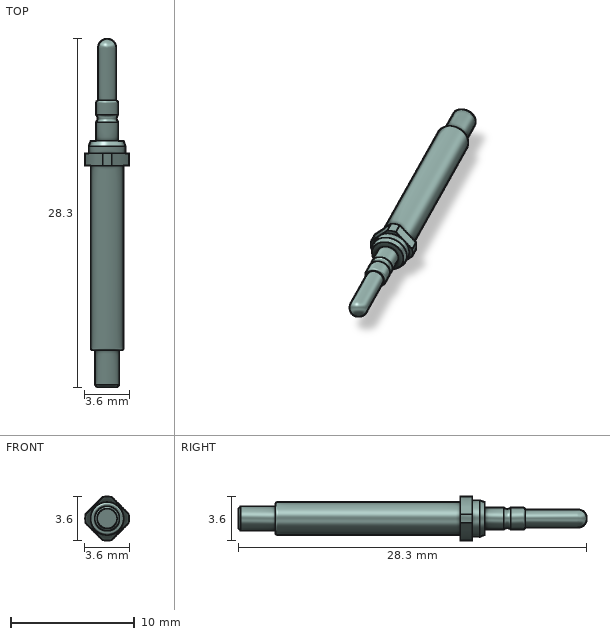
import cadquery as cq

length = 28.3

pin_diameter = 1.5
neck_diameter = 1.8
neck_from_tip = 5.0
neck_edge_round = 0.2
groove_from_tip = 6.17
groove_width = 0.6
groove_depth = 0.1

shoulder_from_tip = 8.3
shoulder_nose_diameter = 2.7
shoulder_diameter = 3.0
shoulder_taper_length = 0.42
flange_from_tip = 9.3
flange_thickness = 1.0
flange_across_flats = 3.0
flange_across_corners = 3.6

barrel_diameter = 2.7
barrel_end_from_tip = 25.3
barrel_edge_round = 0.2
tail_diameter = 2.0
tail_chamfer = 0.2


def y_at(distance_from_tip):
    """Y coordinate of a point given by its distance from the tip."""
    return length / 2 - distance_from_tip


def cylinder(diameter, start_from_tip, end_from_tip):
    """Solid cylinder on the Y axis between two distances from the tip."""
    return (
        cq.Workplane("XZ", origin=(0, y_at(start_from_tip), 0))
        .circle(diameter / 2)
        .extrude(end_from_tip - start_from_tip)
    )


def make_plunger():
    nose_radius = pin_diameter / 2
    nose = cq.Workplane("XY", origin=(0, y_at(nose_radius), 0)).sphere(nose_radius)
    pin = cylinder(pin_diameter, nose_radius, neck_from_tip).union(nose)
    neck = cylinder(neck_diameter, neck_from_tip, shoulder_from_tip)
    neck = neck.faces(">Y").edges().fillet(neck_edge_round)
    return pin.union(neck).cut(make_groove())


def make_groove():
    """Shallow round-bottomed ring that is cut from the neck."""
    neck_radius = neck_diameter / 2
    groove = (
        cq.Workplane("XY")
        .moveTo(neck_radius, y_at(groove_from_tip))
        .threePointArc(
            (neck_radius - groove_depth, y_at(groove_from_tip + groove_width / 2)),
            (neck_radius, y_at(groove_from_tip + groove_width)),
        )
        .close()
    )
    return groove.revolve(360, (0, 0, 0), (0, 1, 0))


def make_shoulder():
    shoulder = cylinder(shoulder_diameter, shoulder_from_tip, flange_from_tip)
    taper_height = (shoulder_diameter - shoulder_nose_diameter) / 2
    return shoulder.faces(">Y").chamfer(shoulder_taper_length, taper_height)


def make_flange():
    """Square plate standing on its corner, with the corners turned round."""
    flange_end = flange_from_tip + flange_thickness
    square = (
        cq.Workplane("XZ", origin=(0, y_at(flange_from_tip), 0))
        .transformed(rotate=(0, 0, 45))
        .rect(flange_across_flats, flange_across_flats)
        .extrude(flange_thickness)
    )
    return square.intersect(cylinder(flange_across_corners, flange_from_tip, flange_end))


def make_barrel():
    barrel_start = flange_from_tip + flange_thickness
    barrel = cylinder(barrel_diameter, barrel_start, barrel_end_from_tip)
    return barrel.faces("<Y").edges().fillet(barrel_edge_round)


def make_tail():
    tail = cylinder(tail_diameter, barrel_end_from_tip, length)
    return tail.faces("<Y").chamfer(tail_chamfer)


result = (
    make_plunger()
    .union(make_shoulder())
    .union(make_flange())
    .union(make_barrel())
    .union(make_tail())
)